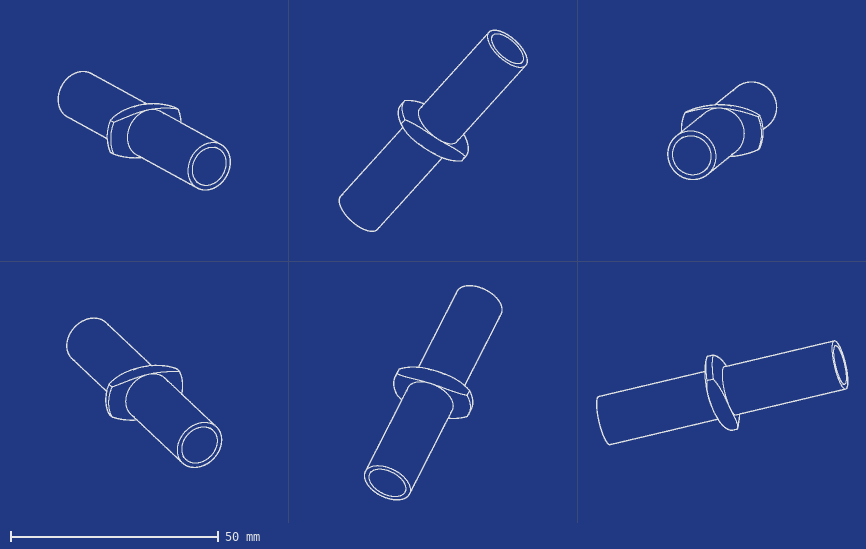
import cadquery as cq

length = 60.0
tube_radius = 6.0
bore_radius = 4.8

collar_radius = 9.99
collar_root_width = 4.1
collar_rim_width = 1.6
face_bulge = 0.3
trim_radius = 22.8


def make_collar():
    """Revolve the tapered half section about X and trim it above and below."""
    half_root = collar_root_width / 2
    half_rim = collar_rim_width / 2
    middle_x = (half_root + half_rim) / 2 + face_bulge
    middle_radius = (tube_radius + collar_radius) / 2
    disc = (
        cq.Workplane("XY")
        .moveTo(-half_root, bore_radius)
        .lineTo(-half_root, tube_radius)
        .threePointArc((-middle_x, middle_radius), (-half_rim, collar_radius))
        .lineTo(half_rim, collar_radius)
        .threePointArc((middle_x, middle_radius), (half_root, tube_radius))
        .lineTo(half_root, bore_radius)
        .close()
        .revolve(360, (0, 0, 0), (1, 0, 0))
    )
    for side in (1, -1):
        trim = (
            cq.Workplane("YZ")
            .center(0, side * (tube_radius - trim_radius))
            .circle(trim_radius)
            .extrude(collar_root_width, both=True)
        )
        disc = disc.intersect(trim)
    return disc


tube = cq.Workplane("YZ").circle(tube_radius).extrude(length / 2, both=True)
bore = cq.Workplane("YZ").circle(bore_radius).extrude(length / 2, both=True)
result = tube.union(make_collar()).cut(bore)